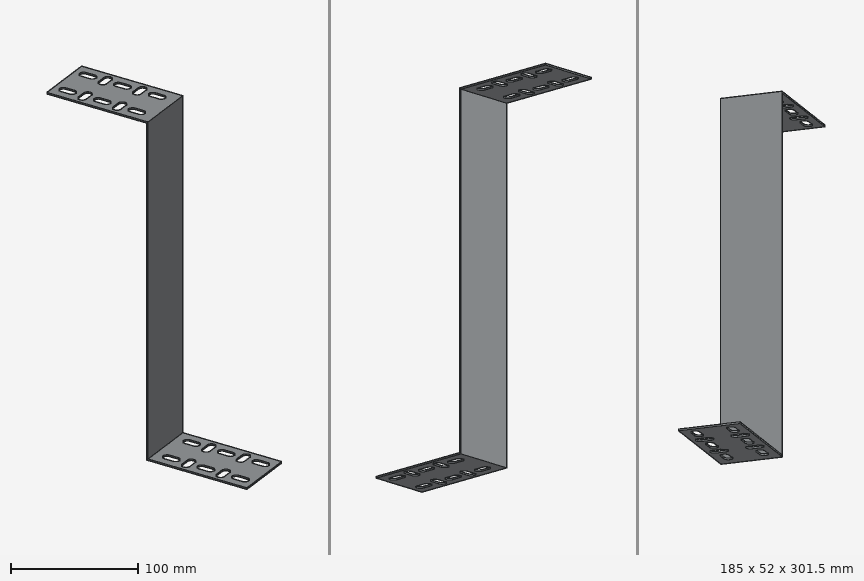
import cadquery as cq

height = 301.5
width = 52.0
length = 185.0
thickness = 1.5
top_flange_length = 93.8
bottom_flange_length = length - top_flange_length + thickness

slot_length = 15.0
slot_width = 7.2
slot_pitch = 16.0
slots_per_row = 5
row_spacing = 30.0
first_slot_inset = 12.7


def make_plate(size_x, size_z, center_x, center_z):
    """Flat full-width wall of the bracket."""
    return cq.Workplane("XY").box(size_x, width, size_z).translate((center_x, 0, center_z))


def make_slotted_flange(flange_length):
    """Top flange, running from its free edge at -X to the far face of the web."""
    flange = make_plate(
        flange_length,
        thickness,
        (flange_length - length) / 2,
        (height - thickness) / 2,
    )
    for row_side in (-1, 1):
        slot_y = row_side * row_spacing / 2
        for index in range(slots_per_row):
            slot_x = -length / 2 + first_slot_inset + index * slot_pitch
            angle = 90 * (index % 2)
            slot = (
                cq.Workplane("XY", origin=(slot_x, slot_y, height / 2 - thickness))
                .slot2D(slot_length, slot_width, angle)
                .extrude(thickness)
            )
            flange = flange.cut(slot)
    return flange


top_flange = make_slotted_flange(top_flange_length)
bottom_flange = (
    make_slotted_flange(bottom_flange_length)
    .rotate((0, 0, 0), (0, 1, 0), 180)
)
web_x = top_flange_length - (length + thickness) / 2
web = make_plate(thickness, height, web_x, 0)

result = web.union(top_flange).union(bottom_flange)